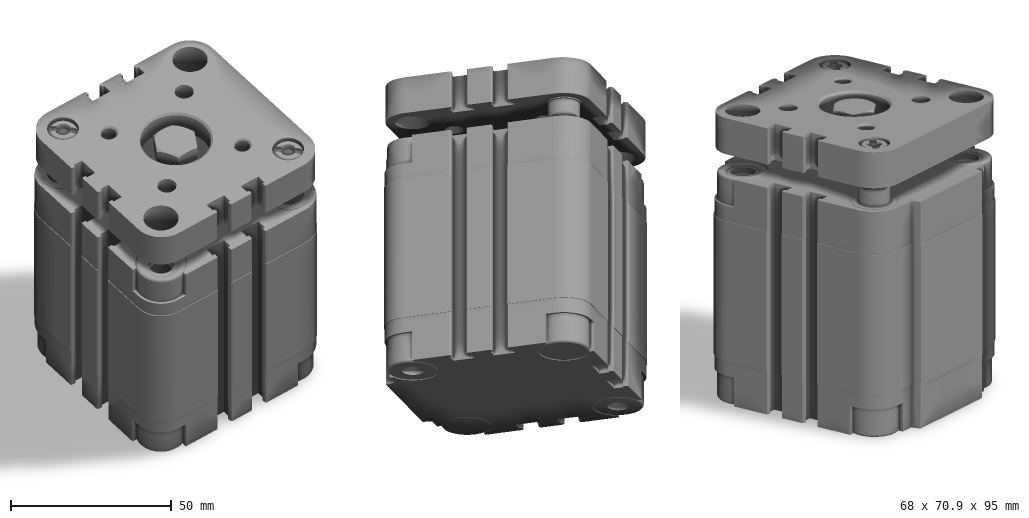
import cadquery as cq
import math

TOTAL_HEIGHT = 95.0
PLATE_THICKNESS = 12.0
PLATE_BOTTOM = TOTAL_HEIGHT - PLATE_THICKNESS
HOUSING_HEIGHT = 75.3
END_CAP_HEIGHT = 14.5
HEAD_CAP_HEIGHT = 14.3
HEAD_CAP_BOTTOM = HOUSING_HEIGHT - HEAD_CAP_HEIGHT

TUBE_WIDTH = 68.0
CAP_INSET = 0.2
CAP_WIDTH = TUBE_WIDTH - 2 * CAP_INSET
PLATE_WIDTH = 67.2
CORNER_RADIUS = 8.9

PAD_HEIGHT = 2.9
PAD_BASE_WIDTH = 35.0
PAD_TOP_WIDTH = 33.6

SLOT_OFFSET = 6.7
SLOT_MOUTH = 5.2
SLOT_INNER_WIDTH = 6.8
SLOT_FLOOR = 29.0
SLOT_LIP = 1.4
SLOT_MOUTH_CHAMFER = 0.3

CORNER_OFFSET = 25.0
ROD_CORNERS = [(-CORNER_OFFSET, -CORNER_OFFSET), (CORNER_OFFSET, CORNER_OFFSET)]
SCREW_CORNERS = [(-CORNER_OFFSET, CORNER_OFFSET), (CORNER_OFFSET, -CORNER_OFFSET)]

BOSS_DIAMETER = 16.0
BOSS_FILLET = 0.8
RELIEF_START = 22.0
END_RELIEF_DEPTH = 9.6
HEAD_RELIEF_DEPTH = 9.2

SCREW_HOLE = 6.65
SCREW_HOLE_RIM = 8.0
SCREW_HOLE_RIM_DEPTH = 1.9
COUNTERBORE = 10.4
COUNTERBORE_RIM = 13.0
COUNTERBORE_DEPTH = 0.7
COUNTERBORE_CHAMFER_DEPTH = 0.4

ROD_DIAMETER = 10.0
ROD_COLLAR = 11.0
ROD_COLLAR_HEIGHT = 0.4
BEARING_DIAMETER = 14.0
BEARING_HEIGHT = 0.2
ROD_END_POCKET = 10.0
ROD_END_POCKET_DEPTH = 1.7
ROD_END_CHAMFER = 0.7
ROD_END_DIAMETER = 9.0
ROD_END_DROP = 0.4
ROD_END_SOCKET = 4.9
ROD_END_SOCKET_FLOOR = 4.2
ROD_END_SOCKET_DEPTH = 1.7
ROD_END_SLOT_DEPTH = 1.1
ROD_END_SLOT_WIDTH = 2.3

PISTON_ROD_DIAMETER = 16.0
FLATS_WIDTH = 13.0
FLATS_BOTTOM = 76.8

ACCESS_HOLE = 11.0
PLATE_HOLE_OFFSET = 14.8
PLATE_HOLE = 6.0
THREADED_HOLE = 4.9

RECESS_DIAMETER = 22.0
RECESS_DEPTH = 7.6
RECESS_CHAMFER = 0.7
WASHER_THICKNESS = 1.6
HEAD_ACROSS_FLATS = 12.7
HEAD_HEIGHT = 5.3
HEAD_CHAMFER_ANGLE = 30.0


def cylinder(diameter, bottom, top, place=(0, 0)):
    disc = cq.Workplane("XY", origin=(*place, bottom)).circle(diameter / 2)
    return disc.extrude(top - bottom)


def cone(bottom_diameter, top_diameter, bottom, top, place=(0, 0)):
    axis = cq.Vector(0, 0, 1)
    start = cq.Vector(*place, bottom)
    solid = cq.Solid.makeCone(bottom_diameter / 2, top_diameter / 2, top - bottom, start, axis)
    return cq.Workplane(solid)


def rounded_square(width, bottom, top):
    block = cq.Workplane("XY", origin=(0, 0, bottom)).rect(width, width).extrude(top - bottom)
    return block.edges("|Z").fillet(CORNER_RADIUS)


def t_slots(width, bottom, top):
    """Two slots on each of the +X, -X and -Y sides of a square of the given width."""
    side = width / 2
    chamfer_start = side - SLOT_MOUTH_CHAMFER
    lip_start = PLATE_WIDTH / 2 - SLOT_LIP
    inner_half = SLOT_INNER_WIDTH / 2
    mouth_half = SLOT_MOUTH / 2
    rim_half = mouth_half + SLOT_MOUTH_CHAMFER
    slots = cq.Workplane()
    for angle in (0, 180, 270):
        for offset in (-SLOT_OFFSET, SLOT_OFFSET):
            profile = [
                (SLOT_FLOOR, offset - inner_half),
                (lip_start, offset - inner_half),
                (lip_start, offset - mouth_half),
                (chamfer_start, offset - mouth_half),
                (side, offset - rim_half),
                (side, offset + rim_half),
                (chamfer_start, offset + mouth_half),
                (lip_start, offset + mouth_half),
                (lip_start, offset + inner_half),
                (SLOT_FLOOR, offset + inner_half),
            ]
            slot = cq.Workplane("XY", origin=(0, 0, bottom)).polyline(profile).close().extrude(top - bottom)
            slots = slots.add(slot.rotate((0, 0, 0), (0, 0, 1), angle))
    return slots.combine()


def housing_section(width, bottom, top):
    """Rounded square with the pad on +Y and the T-slots on the other sides."""
    side = width / 2
    pad_profile = [
        (-PAD_BASE_WIDTH / 2, 0),
        (-PAD_BASE_WIDTH / 2, side),
        (-PAD_TOP_WIDTH / 2, side + PAD_HEIGHT),
        (PAD_TOP_WIDTH / 2, side + PAD_HEIGHT),
        (PAD_BASE_WIDTH / 2, side),
        (PAD_BASE_WIDTH / 2, 0),
    ]
    pad = cq.Workplane("XY", origin=(0, 0, bottom)).polyline(pad_profile).close().extrude(top - bottom)
    return rounded_square(width, bottom, top).union(pad).cut(t_slots(width, bottom, top))


def add_corner_boss(body, corner, bottom, top, rounded_face):
    """Cut the corner away between two heights and stand a round-edged boss in it."""
    x_sign = math.copysign(1, corner[0])
    y_sign = math.copysign(1, corner[1])
    relief_width = TUBE_WIDTH / 2 - RELIEF_START
    relief_center = RELIEF_START + relief_width / 2
    relief = (
        cq.Workplane("XY", origin=(x_sign * relief_center, y_sign * relief_center, bottom))
        .rect(relief_width, relief_width)
        .extrude(top - bottom)
    )
    boss = cylinder(BOSS_DIAMETER, bottom, top, corner)
    rounded_boss = boss.faces(rounded_face).fillet(BOSS_FILLET)
    return body.cut(relief).cut(boss).union(rounded_boss)


def screw_hole(corner):
    """Through hole, opening upward through a cone and a rim into a shallow countersunk counterbore."""
    counterbore_floor = HOUSING_HEIGHT - COUNTERBORE_DEPTH
    rim_bottom = counterbore_floor - SCREW_HOLE_RIM_DEPTH
    cone_depth = (SCREW_HOLE_RIM - SCREW_HOLE) / 2
    hole = cylinder(SCREW_HOLE, 0, HOUSING_HEIGHT, corner)
    rim_cone = cone(SCREW_HOLE, SCREW_HOLE_RIM, rim_bottom - cone_depth, rim_bottom, corner)
    rim = cylinder(SCREW_HOLE_RIM, rim_bottom, counterbore_floor, corner)
    counterbore = cylinder(COUNTERBORE, counterbore_floor, HOUSING_HEIGHT, corner)
    mouth_bottom = HOUSING_HEIGHT - COUNTERBORE_CHAMFER_DEPTH
    mouth = cone(COUNTERBORE, COUNTERBORE_RIM, mouth_bottom, HOUSING_HEIGHT, corner)
    return hole.union(rim_cone).union(rim).union(counterbore).union(mouth)


def add_bearing(body, corner):
    """Bearing that stands slightly proud of the head cap, bored for its guide rod."""
    top = HOUSING_HEIGHT + BEARING_HEIGHT
    bearing = cylinder(BEARING_DIAMETER, HEAD_CAP_BOTTOM, top, corner)
    return body.union(bearing).cut(cylinder(ROD_DIAMETER, HEAD_CAP_BOTTOM, top, corner))


def make_housing():
    body = housing_section(TUBE_WIDTH, END_CAP_HEIGHT, HEAD_CAP_BOTTOM)
    body = body.union(housing_section(CAP_WIDTH, 0, END_CAP_HEIGHT))
    body = body.union(housing_section(CAP_WIDTH, HEAD_CAP_BOTTOM, HOUSING_HEIGHT))
    for corner in ROD_CORNERS + SCREW_CORNERS:
        body = add_corner_boss(body, corner, 0, END_RELIEF_DEPTH, "<Z")
    for corner in SCREW_CORNERS:
        body = add_corner_boss(body, corner, HOUSING_HEIGHT - HEAD_RELIEF_DEPTH, HOUSING_HEIGHT, ">Z")
        body = body.cut(screw_hole(corner))
    for corner in ROD_CORNERS:
        body = add_bearing(body, corner)
    return body.cut(cylinder(PISTON_ROD_DIAMETER, HEAD_CAP_BOTTOM, HOUSING_HEIGHT))


def add_guide_rod(body, corner):
    rod = cylinder(ROD_DIAMETER, HEAD_CAP_BOTTOM, PLATE_BOTTOM, corner)
    collar = cylinder(ROD_COLLAR, PLATE_BOTTOM - ROD_COLLAR_HEIGHT, PLATE_BOTTOM, corner)
    return body.union(rod).union(collar)


def add_rod_end(body, corner):
    """Chamfered rod end with a tapered socket and a diagonal slot, sunk in the top of the plate."""
    pocket_floor = TOTAL_HEIGHT - ROD_END_POCKET_DEPTH
    end_top = TOTAL_HEIGHT - ROD_END_DROP
    socket_floor = end_top - ROD_END_SOCKET_DEPTH
    body = body.cut(cylinder(ROD_END_POCKET, pocket_floor, TOTAL_HEIGHT, corner))
    rod_end = cylinder(ROD_END_DIAMETER, pocket_floor, end_top, corner).faces(">Z").chamfer(ROD_END_CHAMFER)
    slot_floor = end_top - ROD_END_SLOT_DEPTH
    slot = (
        cq.Workplane("XY", origin=(*corner, slot_floor))
        .transformed(rotate=(0, 0, 45))
        .rect(ROD_END_POCKET, ROD_END_SLOT_WIDTH)
        .extrude(ROD_END_SLOT_DEPTH)
        .intersect(cylinder(ROD_END_POCKET, slot_floor, end_top, corner))
    )
    socket = cone(ROD_END_SOCKET_FLOOR, ROD_END_SOCKET, socket_floor, end_top, corner)
    return body.union(rod_end).cut(slot).cut(socket)


def piston_rod():
    rod = cylinder(PISTON_ROD_DIAMETER, HEAD_CAP_BOTTOM, PLATE_BOTTOM)
    flat_depth = (PISTON_ROD_DIAMETER - FLATS_WIDTH) / 2
    flat_center = (PISTON_ROD_DIAMETER + FLATS_WIDTH) / 4
    flats = (
        cq.Workplane("XY", origin=(0, 0, FLATS_BOTTOM))
        .pushPoints([(0, -flat_center), (0, flat_center)])
        .rect(PISTON_ROD_DIAMETER, flat_depth)
        .extrude(PLATE_BOTTOM - FLATS_BOTTOM)
    )
    return rod.cut(flats)


def screw_head(bottom):
    """Hexagon head with corners toward -Y and +Y, turned conical at the top."""
    sides = 6
    across_corners = HEAD_ACROSS_FLATS / math.cos(math.pi / sides)
    slope = math.tan(math.radians(HEAD_CHAMFER_ANGLE))
    cone_bottom_diameter = HEAD_ACROSS_FLATS + 2 * HEAD_HEIGHT / slope
    head = (
        cq.Workplane("XY", origin=(0, 0, bottom))
        .polygon(sides, across_corners)
        .extrude(HEAD_HEIGHT)
        .rotate((0, 0, 0), (0, 0, 1), 90)
    )
    return head.intersect(cone(cone_bottom_diameter, HEAD_ACROSS_FLATS, bottom, bottom + HEAD_HEIGHT))


def add_screw_recess(body):
    floor = TOTAL_HEIGHT - RECESS_DEPTH
    rim_diameter = RECESS_DIAMETER + 2 * RECESS_CHAMFER
    washer_top = floor + WASHER_THICKNESS
    body = body.cut(cylinder(RECESS_DIAMETER, floor, TOTAL_HEIGHT))
    body = body.cut(cone(RECESS_DIAMETER, rim_diameter, TOTAL_HEIGHT - RECESS_CHAMFER, TOTAL_HEIGHT))
    body = body.union(cylinder(PISTON_ROD_DIAMETER, floor, washer_top))
    return body.union(screw_head(washer_top))


def plate_holes():
    holes = cq.Workplane()
    for x_sign, y_sign in [(-1, 1), (1, -1)]:
        place = (x_sign * PLATE_HOLE_OFFSET, y_sign * PLATE_HOLE_OFFSET)
        holes = holes.add(cylinder(PLATE_HOLE, PLATE_BOTTOM, TOTAL_HEIGHT, place))
    for sign in (-1, 1):
        place = (sign * PLATE_HOLE_OFFSET, sign * PLATE_HOLE_OFFSET)
        rim_depth = (PLATE_HOLE - THREADED_HOLE) / 2
        holes = holes.add(cylinder(THREADED_HOLE, PLATE_BOTTOM, TOTAL_HEIGHT, place))
        holes = holes.add(cone(THREADED_HOLE, PLATE_HOLE, TOTAL_HEIGHT - rim_depth, TOTAL_HEIGHT, place))
    for corner in SCREW_CORNERS:
        holes = holes.add(cylinder(ACCESS_HOLE, PLATE_BOTTOM, TOTAL_HEIGHT, corner))
    return holes.combine()


def make_carriage():
    body = rounded_square(PLATE_WIDTH, PLATE_BOTTOM, TOTAL_HEIGHT)
    body = body.cut(t_slots(PLATE_WIDTH, PLATE_BOTTOM, TOTAL_HEIGHT))
    body = body.cut(plate_holes())
    for corner in ROD_CORNERS:
        body = add_guide_rod(body, corner)
        body = add_rod_end(body, corner)
    body = add_screw_recess(body)
    return body.union(piston_rod())


housing = make_housing()
carriage = make_carriage()

result = cq.Compound.makeCompound([housing.solids().val(), carriage.solids().val()])